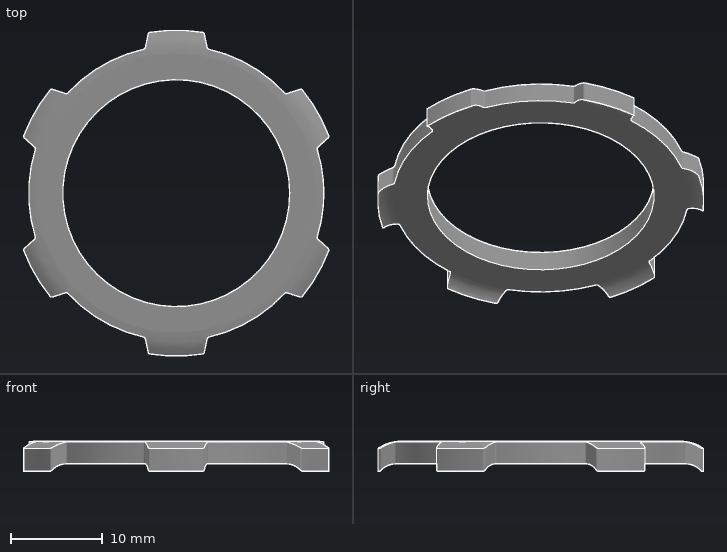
import cadquery as cq
import math

bore_diameter = 24.7
body_radius = 16.1
body_thickness = 2.5

tooth_count = 6
tip_radius = 17.775
tooth_drop = 0.8
tooth_base_half_width = 3.4
tooth_base_distance = 15.8
tooth_side_angle = 12.0
tip_corner_fillet = 0.25
root_fillet = 0.25
root_tolerance = 0.001

top_flat_radius = 15.2
bottom_flat_radius = 16.1

body_bottom = tooth_drop
body_top = body_bottom + body_thickness
tip_top = body_top - tooth_drop


def tangent_arc_middle(start_radius, start_height):
    """Middle of an arc that leaves a flat face tangentially and drops by tooth_drop at the tip."""
    run = tip_radius - start_radius
    arc_radius = (run**2 + tooth_drop**2) / (2 * tooth_drop)
    half_sweep = math.asin(run / arc_radius) / 2
    radius = start_radius + arc_radius * math.sin(half_sweep)
    height = start_height - arc_radius * (1 - math.cos(half_sweep))
    return radius, height


def make_drooping_disc():
    """Full ring with its rim curved down all the way round."""
    return (
        cq.Workplane("XZ")
        .moveTo(bore_diameter / 2, body_bottom)
        .lineTo(bottom_flat_radius, body_bottom)
        .threePointArc(tangent_arc_middle(bottom_flat_radius, body_bottom), (tip_radius, 0))
        .lineTo(tip_radius, tip_top)
        .threePointArc(tangent_arc_middle(top_flat_radius, body_top), (top_flat_radius, body_top))
        .lineTo(bore_diameter / 2, body_top)
        .close()
        .revolve(360, (0, 0, 0), (0, 1, 0))
    )


def make_tooth_blank():
    """Tapered prism on +Y, trimmed to the tip radius and rounded at the tip corners."""
    taper = math.tan(math.radians(tooth_side_angle))
    inner_half_width = tooth_base_half_width + taper * (tooth_base_distance - top_flat_radius)
    outer_half_width = tooth_base_half_width - taper * (tip_radius - tooth_base_distance)
    wedge = (
        cq.Workplane("XY")
        .polyline(
            [
                (-inner_half_width, top_flat_radius),
                (inner_half_width, top_flat_radius),
                (outer_half_width, tip_radius),
                (-outer_half_width, tip_radius),
            ]
        )
        .close()
        .extrude(body_top)
    )
    tip_cylinder = cq.Workplane("XY").circle(tip_radius).extrude(body_top)
    return wedge.intersect(tip_cylinder).faces(">Y").edges("|Z").fillet(tip_corner_fillet)


def is_tooth_root(edge):
    """True for an edge standing where a tooth flank meets the round body."""
    center = edge.Center()
    return abs(math.hypot(center.x, center.y) - body_radius) < root_tolerance


def make_toothed_outline():
    """Prism with the plan outline of the part: round body, teeth and filleted tooth roots."""
    outline = cq.Workplane("XY").circle(body_radius).extrude(body_top).rotate((0, 0, 0), (0, 0, 1), 90)
    tooth = make_tooth_blank()
    for index in range(tooth_count):
        tooth_angle = index * 360 / tooth_count
        outline = outline.union(tooth.rotate((0, 0, 0), (0, 0, 1), tooth_angle))
    return outline.edges("|Z").filter(is_tooth_root).fillet(root_fillet)


result = make_drooping_disc().intersect(make_toothed_outline())